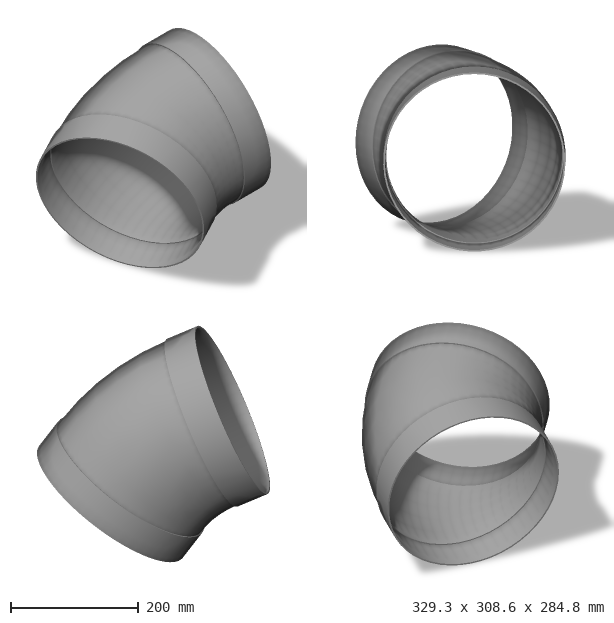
import cadquery as cq
import math

bend_angle = 30.0
bend_radius = 280.8
elbow_diameter = 280.0
collar_diameter = 284.8
collar_wall = 2.5
elbow_wall = 2.3
collar_length = 52.0

angle = math.radians(bend_angle)
bend_end = (
    bend_radius * (1 - math.cos(angle)),
    collar_length + bend_radius * math.sin(angle),
    0,
)
outlet_direction = (math.sin(angle), math.cos(angle), 0)

bend_start_plane = cq.Plane(origin=(0, collar_length, 0), xDir=(1, 0, 0), normal=(0, 1, 0))
inlet_plane = cq.Plane(origin=(0, 0, 0), xDir=(1, 0, 0), normal=(0, 1, 0))
outlet_plane = cq.Plane(origin=bend_end, xDir=(0, 0, 1), normal=outlet_direction)


def collar(plane):
    """Straight thin ring that slightly overlaps the end of the elbow wall."""
    outer_radius = collar_diameter / 2
    return cq.Workplane(plane).circle(outer_radius).circle(outer_radius - collar_wall).extrude(collar_length)


def elbow():
    """Thin tube swept about the bend centre, between the two collars."""
    outer_radius = elbow_diameter / 2
    return (
        cq.Workplane(bend_start_plane)
        .circle(outer_radius)
        .circle(outer_radius - elbow_wall)
        .revolve(bend_angle, (bend_radius, -3.3, 0), (bend_radius, 3.3, 0))
    )


result = elbow().union(collar(inlet_plane)).union(collar(outlet_plane))